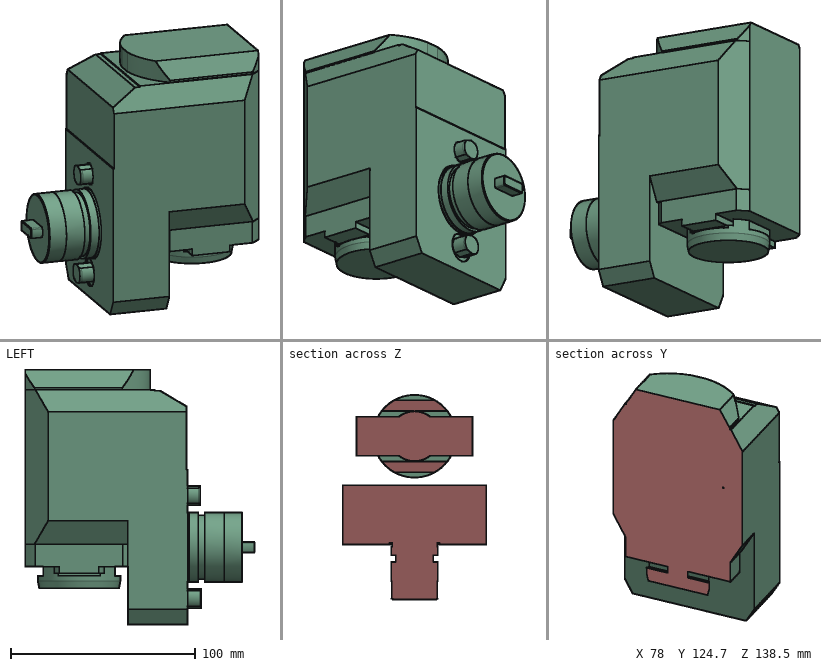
import cadquery as cq
import math


WIDTH = 78.0
HALF_WIDTH = WIDTH / 2
BEVEL_SLOPE = math.tan(math.radians(30))
BACK_Y = 88.2
BACK_CORNER_CHAMFER = 12.5
HEAD_TOP_Z = 85.5
HEAD_BEVEL_HEIGHT = 12.0
HEAD_BOTTOM_Z = 1.6
UNDERSIDE_BEVEL_HEIGHT = 12.9

PLATE_JOINT_Y = 17.75
PLATE_TOP_Z = 85.0
PLATE_BEVEL_START_Y = 14.9
PLATE_BEVEL_BOTTOM_Z = 76.5
MOUNT_FACE_STEP = 0.5
MOUNT_FACE_TOP_Z = 42.2
SOCKET_DEPTH = 1.0

LEG_BACK_Y = 32.4
LEG_BOTTOM_Z = -42.0
LEG_BEVEL_HEIGHT = 8.4

COLLAR_Y = 58.9
CAP_RADIUS = 39.0
CAP_HALF_WIDTH = 31.2
CAP_TOP_HALF_WIDTH = 25.3
CAP_TOP_Z = 96.5
CAP_STRAIGHT_HEIGHT = 1.1
CAP_FLAT_WIDTH = 8.8
TURNED_RADIUS = 39.5
BLOCK_BOTTOM_Z = -10.55
BLOCK_HALF_WIDTH = HALF_WIDTH - UNDERSIDE_BEVEL_HEIGHT * BEVEL_SLOPE

COLLAR_DIAMETER = 45.0
COLLAR_END_DIAMETER = 43.4
COLLAR_TAPER_Z = -18.3
COLLAR_BOTTOM_Z = -22.4
FLANGE_TOP_Z = -15.5
WRENCH_FLAT_DISTANCE = 19.6
LEDGE_DISTANCE = 19.4
SLOT_WIDTH = 27.2
LUG_WIDTH = 21.4
LUG_BOTTOM_Z = -14.2

SHAFT_DIAMETER = 38.0
SHAFT_SOCKET_DIAMETER = 39.2
SHAFT_RELIEF_DIAMETER = 37.6
SHAFT_RELIEF_END = 1.0
SHAFT_NOSE_DIAMETER = 37.9
SHAFT_GROOVE_DIAMETER = 35.0
SHAFT_GROOVE_START = 5.8
SHAFT_GROOVE_END = 9.3
SHAFT_NOSE_START = 19.8
SHAFT_LENGTH = 29.8
SHAFT_CHAMFER = 0.5

TANG_WIDTH = 16.4
TANG_THICKNESS = 5.8
TANG_TIP = 36.5
TANG_CORNER_RADIUS = 0.7
TANG_CHAMFER = 0.4

PIN_DIAMETER = 12.0
PIN_RIDGE = 5.3
PIN_SHOULDER_X = 4.2
PIN_SHOULDER = 4.2
PIN_CHAMFER_LENGTH = 1.0
PIN_CHAMFER_DEPTH = 0.3
UPPER_PIN_Z = 28.0
UPPER_PIN_LENGTH = 6.9
LOWER_PIN_Z = -27.9
LOWER_PIN_LENGTH = 7.4
LOWER_SEAT_DIAMETER = 15.6


def bevelled_bar(front_y, back_y, bottom_z, top_z, bottom_bevel, top_bevel):
    """Full-width bar along Y whose long edges are bevelled at 30 degrees from vertical."""
    bottom_half = HALF_WIDTH - bottom_bevel * BEVEL_SLOPE
    top_half = HALF_WIDTH - top_bevel * BEVEL_SLOPE
    outline = [
        (-bottom_half, bottom_z),
        (bottom_half, bottom_z),
        (HALF_WIDTH, bottom_z + bottom_bevel),
        (HALF_WIDTH, top_z - top_bevel),
        (top_half, top_z),
        (-top_half, top_z),
        (-HALF_WIDTH, top_z - top_bevel),
        (-HALF_WIDTH, bottom_z + bottom_bevel),
    ]
    return (
        cq.Workplane("XZ", origin=(0, back_y, 0)).polyline(outline).close().extrude(back_y - front_y)
    )


def y_cylinder(diameter, start_y, length, z=0.0):
    """Cylinder along Y from start_y toward -Y."""
    return cq.Workplane("XZ", origin=(0, start_y, z)).circle(diameter / 2).extrude(length)


def make_head():
    """Head block behind the front plate, before its back corners are cut."""
    return bevelled_bar(
        PLATE_JOINT_Y, BACK_Y, HEAD_BOTTOM_Z, HEAD_TOP_Z, UNDERSIDE_BEVEL_HEIGHT, HEAD_BEVEL_HEIGHT
    )


def make_leg():
    """Front plate and leg, with a sloped top front edge and a raised mounting face."""
    top_bevel = HEAD_BEVEL_HEIGHT - (HEAD_TOP_Z - PLATE_TOP_Z)
    bar = bevelled_bar(0, LEG_BACK_Y, LEG_BOTTOM_Z, PLATE_TOP_Z, LEG_BEVEL_HEIGHT, top_bevel)
    side_profile = [
        (0, LEG_BOTTOM_Z),
        (0, MOUNT_FACE_TOP_Z),
        (MOUNT_FACE_STEP, MOUNT_FACE_TOP_Z),
        (MOUNT_FACE_STEP, PLATE_BEVEL_BOTTOM_Z),
        (PLATE_BEVEL_START_Y, PLATE_TOP_Z),
        (LEG_BACK_Y, PLATE_TOP_Z),
        (LEG_BACK_Y, LEG_BOTTOM_Z),
    ]
    profile = cq.Workplane("YZ").polyline(side_profile).close().extrude(HALF_WIDTH, both=True)
    return bar.intersect(profile)


def make_turned_disc(bottom_z, height):
    """Disc about the collar axis that rounds the back corners of the cap and the lower block."""
    return cq.Workplane("XY", origin=(0, COLLAR_Y, bottom_z)).circle(TURNED_RADIUS).extrude(height)


def make_cap():
    """Top cap: bevelled sides, round front about the collar axis with a narrow centre flat."""
    taper_z = HEAD_TOP_Z + CAP_STRAIGHT_HEIGHT
    section = [
        (-CAP_HALF_WIDTH, HEAD_TOP_Z),
        (CAP_HALF_WIDTH, HEAD_TOP_Z),
        (CAP_HALF_WIDTH, taper_z),
        (CAP_TOP_HALF_WIDTH, CAP_TOP_Z),
        (-CAP_TOP_HALF_WIDTH, CAP_TOP_Z),
        (-CAP_HALF_WIDTH, taper_z),
    ]
    bar = cq.Workplane("XZ", origin=(0, BACK_Y, 0)).polyline(section).close().extrude(BACK_Y)
    flat_half = CAP_FLAT_WIDTH / 2
    flat_y = COLLAR_Y - math.sqrt(CAP_RADIUS**2 - flat_half**2)
    arc_mid = CAP_RADIUS * math.sqrt(0.5)
    plan = (
        cq.Workplane("XY", origin=(0, 0, HEAD_TOP_Z))
        .moveTo(-flat_half, flat_y)
        .lineTo(flat_half, flat_y)
        .threePointArc((arc_mid, COLLAR_Y - arc_mid), (CAP_RADIUS, COLLAR_Y))
        .lineTo(CAP_RADIUS, BACK_Y)
        .lineTo(-CAP_RADIUS, BACK_Y)
        .lineTo(-CAP_RADIUS, COLLAR_Y)
        .threePointArc((-arc_mid, COLLAR_Y - arc_mid), (-flat_half, flat_y))
        .close()
        .extrude(CAP_TOP_Z - HEAD_TOP_Z)
    )
    return bar.intersect(plan).intersect(make_turned_disc(HEAD_TOP_Z, CAP_TOP_Z - HEAD_TOP_Z))


def make_lower_block():
    """Block under the head: a disc trimmed by flat sides and the back face."""
    height = HEAD_BOTTOM_Z - BLOCK_BOTTOM_Z
    bounds = cq.Workplane("XY", origin=(0, 0, BLOCK_BOTTOM_Z))
    bounds = bounds.rect(2 * BLOCK_HALF_WIDTH, 2 * BACK_Y).extrude(height)
    return make_turned_disc(BLOCK_BOTTOM_Z, height).intersect(bounds)


def make_collar():
    """Tapered collar with wrench flats, side slots around a round core, and a lug in each slot."""
    height = BLOCK_BOTTOM_Z - COLLAR_BOTTOM_Z
    radius = COLLAR_DIAMETER / 2
    profile = [
        (0, BLOCK_BOTTOM_Z),
        (radius, BLOCK_BOTTOM_Z),
        (radius, COLLAR_TAPER_Z),
        (COLLAR_END_DIAMETER / 2, COLLAR_BOTTOM_Z),
        (0, COLLAR_BOTTOM_Z),
    ]
    collar = (
        cq.Workplane("XZ", origin=(0, COLLAR_Y, 0))
        .polyline(profile)
        .close()
        .revolve(360, (0, 0, 0), (0, 1, 0))
    )
    flange_height = FLANGE_TOP_Z - COLLAR_BOTTOM_Z
    wrench_zone = cq.Workplane("XY", origin=(0, COLLAR_Y, FLANGE_TOP_Z))
    between_flats = wrench_zone.rect(COLLAR_DIAMETER, 2 * WRENCH_FLAT_DISTANCE).extrude(height)
    flange_zone = wrench_zone.rect(COLLAR_DIAMETER, COLLAR_DIAMETER).extrude(-flange_height)
    collar = collar.intersect(between_flats.union(flange_zone))

    ledge_height = LUG_BOTTOM_Z - FLANGE_TOP_Z
    ledge_width = COLLAR_DIAMETER / 2 - LEDGE_DISTANCE
    ledge_x = LEDGE_DISTANCE + ledge_width / 2
    ledges = wrench_zone.pushPoints([(-ledge_x, 0), (ledge_x, 0)])
    collar = collar.cut(ledges.rect(ledge_width, SLOT_WIDTH).extrude(ledge_height))

    lug_height = BLOCK_BOTTOM_Z - LUG_BOTTOM_Z
    slot_floor = cq.Workplane("XY", origin=(0, COLLAR_Y, LUG_BOTTOM_Z))
    slot = slot_floor.rect(COLLAR_DIAMETER, SLOT_WIDTH).extrude(lug_height)
    core = slot_floor.circle(SLOT_WIDTH / 2).extrude(lug_height)
    lug = slot_floor.rect(2 * BLOCK_HALF_WIDTH, LUG_WIDTH).extrude(lug_height)
    return collar.cut(slot).union(core).union(lug)


def make_shaft():
    """Stepped drive shaft revolved about the Y axis."""
    radius = SHAFT_DIAMETER / 2
    nose = SHAFT_NOSE_DIAMETER / 2
    profile = [
        (0, SOCKET_DEPTH),
        (SHAFT_RELIEF_DIAMETER / 2, SOCKET_DEPTH),
        (SHAFT_RELIEF_DIAMETER / 2, -SHAFT_RELIEF_END),
        (radius, -SHAFT_RELIEF_END),
        (radius, -SHAFT_GROOVE_START),
        (SHAFT_GROOVE_DIAMETER / 2, -SHAFT_GROOVE_START),
        (SHAFT_GROOVE_DIAMETER / 2, -SHAFT_GROOVE_END),
        (radius, -SHAFT_GROOVE_END),
        (radius, -SHAFT_NOSE_START),
        (nose, -SHAFT_NOSE_START),
        (nose, -SHAFT_LENGTH + SHAFT_CHAMFER),
        (nose - SHAFT_CHAMFER, -SHAFT_LENGTH),
        (0, -SHAFT_LENGTH),
    ]
    return cq.Workplane("XY").polyline(profile).close().revolve(360, (0, 0, 0), (0, 1, 0))


def make_tang():
    """Drive tang: flat blade with ends rounded about the shaft axis and a chamfered tip."""
    length = TANG_TIP - SHAFT_LENGTH
    blade = cq.Workplane("XZ", origin=(0, -SHAFT_LENGTH, 0)).rect(TANG_WIDTH, TANG_THICKNESS)
    blade = blade.extrude(length).intersect(y_cylinder(TANG_WIDTH, -SHAFT_LENGTH, length))
    blade = blade.edges("|Y").fillet(TANG_CORNER_RADIUS)
    return blade.faces("<Y").chamfer(TANG_CHAMFER)


def make_pin(z, length):
    """Round pin trimmed above and below by shallow roof-shaped flats."""
    pin = y_cylinder(PIN_DIAMETER, SOCKET_DEPTH, SOCKET_DEPTH + length, z)
    pin = pin.faces("<Y").edges().chamfer(PIN_CHAMFER_LENGTH, PIN_CHAMFER_DEPTH)
    ridge_slope = (PIN_RIDGE - PIN_SHOULDER) / PIN_SHOULDER_X
    side_x = PIN_DIAMETER / 2
    side_z = PIN_RIDGE - ridge_slope * side_x
    outline = [(0, PIN_RIDGE), (side_x, side_z), (side_x, -side_z)]
    outline += [(-x, -height) for x, height in outline]
    trim = cq.Workplane("XZ", origin=(0, SOCKET_DEPTH, z)).polyline(outline).close()
    return pin.intersect(trim.extrude(SOCKET_DEPTH + length))


def back_corner_cut(side):
    """Triangular prism removing one vertical back corner at 45 degrees."""
    triangle = [
        (side * HALF_WIDTH, BACK_Y),
        (side * (HALF_WIDTH - BACK_CORNER_CHAMFER), BACK_Y),
        (side * HALF_WIDTH, BACK_Y - BACK_CORNER_CHAMFER),
    ]
    prism = cq.Workplane("XY", origin=(0, 0, HEAD_BOTTOM_Z)).polyline(triangle).close()
    return prism.extrude(HEAD_TOP_Z - HEAD_BOTTOM_Z)


head = make_head()
for corner_side in (-1, 1):
    head = head.cut(back_corner_cut(corner_side))

body = head.union(make_leg()).union(make_cap()).union(make_lower_block())
body = body.cut(y_cylinder(SHAFT_SOCKET_DIAMETER, SOCKET_DEPTH, SOCKET_DEPTH))
body = body.cut(y_cylinder(PIN_DIAMETER, SOCKET_DEPTH, SOCKET_DEPTH, UPPER_PIN_Z))
body = body.cut(y_cylinder(LOWER_SEAT_DIAMETER, SOCKET_DEPTH, SOCKET_DEPTH, LOWER_PIN_Z))

result = body.union(make_collar()).union(make_shaft()).union(make_tang())
result = result.union(make_pin(UPPER_PIN_Z, UPPER_PIN_LENGTH))
result = result.union(make_pin(LOWER_PIN_Z, LOWER_PIN_LENGTH))